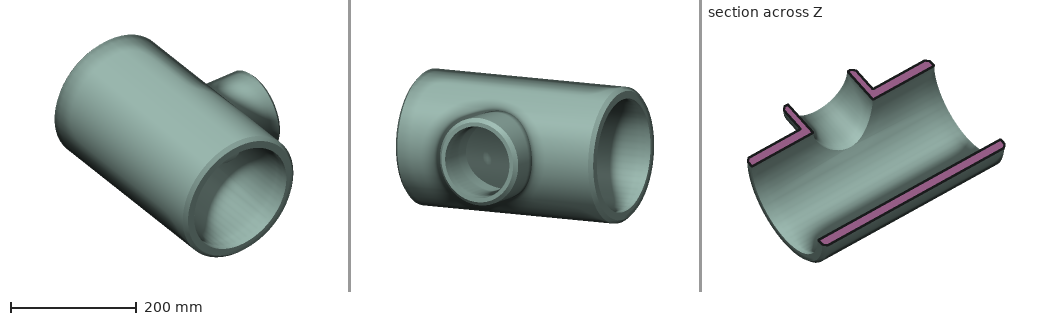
import cadquery as cq

run_diameter = 219.075
run_wall = 18.26
run_length = 355.6

branch_diameter = 141.3
branch_wall = 12.7
branch_reach = 162.05

bevel_axial = 6.0
bevel_radial = 6.0

run_radius = run_diameter / 2
branch_radius = branch_diameter / 2


def beveled_run():
    """Solid run with an outer weld bevel on both ends."""
    half_length = run_length / 2
    shoulder = half_length - bevel_axial
    end_radius = run_radius - bevel_radial
    profile = [
        (-half_length, 0),
        (-half_length, end_radius),
        (-shoulder, run_radius),
        (shoulder, run_radius),
        (half_length, end_radius),
        (half_length, 0),
    ]
    return cq.Workplane("XY").polyline(profile).close().revolve(360, (0, 0, 0), (1, 0, 0))


def beveled_branch():
    """Solid branch from the run axis out to its beveled end."""
    profile = [
        (0, 0),
        (branch_radius, 0),
        (branch_radius, branch_reach - bevel_axial),
        (branch_radius - bevel_radial, branch_reach),
        (0, branch_reach),
    ]
    return cq.Workplane("XY").polyline(profile).close().revolve(360, (0, 0, 0), (0, 1, 0))


def run_bore():
    """Cutter for the bore through the full run."""
    bore_radius = run_radius - run_wall
    return cq.Workplane("YZ").circle(bore_radius).extrude(run_length / 2, both=True)


def branch_bore():
    """Cutter from the run axis out through the branch end."""
    bore_radius = branch_radius - branch_wall
    return cq.Workplane("XZ").circle(bore_radius).extrude(-branch_reach)


body = beveled_run().union(beveled_branch())
result = body.cut(run_bore()).cut(branch_bore())